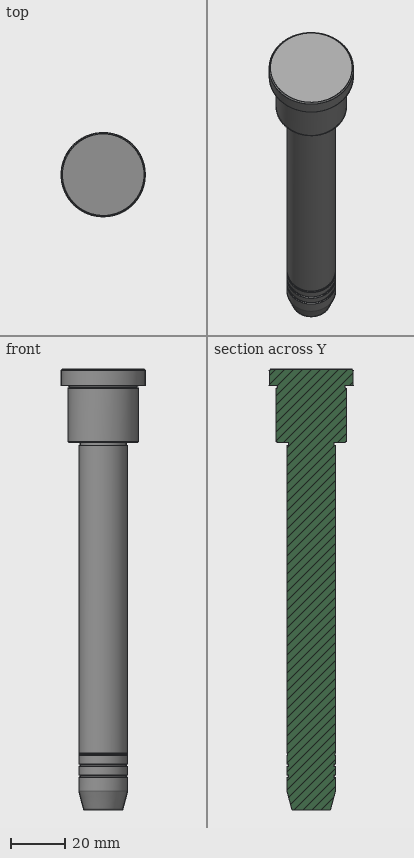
import cadquery as cq
import math

total_length = 162.0
head_thickness = 6.0
collar_length = 21.0
head_bottom_z = total_length - head_thickness
collar_bottom_z = head_bottom_z - collar_length

head_diameter = 31.0
collar_diameter = 26.0
shank_diameter = 18.0

head_chamfer = 0.5
collar_chamfer = 0.5
tip_fillet = 0.5

taper_length = 7.0
taper_angle = 15.0

neck_width = 1.0
neck_depth = 0.5
head_neck_ramp = 0.2

groove_width = 1.0
groove_depth = 0.5
groove_ramp = 0.2
groove_pitch = 4.0
groove_count = 2
lowest_groove_top_z = 13.0
shallow_groove_depth = 0.2
shallow_groove_upper_ramp = 0.3
shallow_groove_lower_ramp = 0.5
shallow_groove_top_z = lowest_groove_top_z + groove_count * groove_pitch


def cylinder(diameter, bottom_z, top_z):
    """Solid cylinder on the Z axis between two heights."""
    return cq.Workplane("XY").workplane(offset=bottom_z).circle(diameter / 2).extrude(top_z - bottom_z)


def make_head():
    head = cylinder(head_diameter, head_bottom_z, total_length)
    return head.faces(">Z").edges().chamfer(head_chamfer)


def make_collar():
    collar = cylinder(collar_diameter, collar_bottom_z, head_bottom_z)
    return collar.faces("<Z").edges().chamfer(collar_chamfer)


def make_shank():
    """Long cylinder standing on a tapered tip with a rounded lower edge."""
    radius = shank_diameter / 2
    tip_radius = radius - taper_length * math.tan(math.radians(taper_angle))
    profile = (
        cq.Workplane("XZ")
        .lineTo(tip_radius, 0)
        .lineTo(radius, taper_length)
        .lineTo(radius, collar_bottom_z)
        .lineTo(0, collar_bottom_z)
        .close()
    )
    shank = profile.revolve(360, (0, 0, 0), (0, 1, 0))
    return shank.faces("<Z").edges().fillet(tip_fillet)


def ring_cutter(diameter, top_z, width, depth, upper_ramp=0.0, lower_ramp=0.0):
    """Ring that cuts a flat-floored groove around a cylinder.

    Each ramp is the height over which that wall slopes from the surface to the floor;
    a ramp of zero gives a square wall.
    """
    outer_radius = diameter / 2
    floor_radius = outer_radius - depth
    bottom_z = top_z - width
    profile = (
        cq.Workplane("XZ")
        .moveTo(outer_radius, top_z)
        .lineTo(floor_radius, top_z - upper_ramp)
        .lineTo(floor_radius, bottom_z + lower_ramp)
        .lineTo(outer_radius, bottom_z)
        .close()
    )
    return profile.revolve(360, (0, 0, 0), (0, 1, 0))


def cut_necks(pin):
    head_neck = ring_cutter(
        collar_diameter, head_bottom_z, neck_width, neck_depth, head_neck_ramp, head_neck_ramp
    )
    collar_neck = ring_cutter(shank_diameter, collar_bottom_z, neck_width, neck_depth)
    return pin.cut(head_neck).cut(collar_neck)


def cut_grooves(pin):
    for index in range(groove_count):
        top_z = lowest_groove_top_z + index * groove_pitch
        groove = ring_cutter(shank_diameter, top_z, groove_width, groove_depth, groove_ramp, groove_ramp)
        pin = pin.cut(groove)
    shallow_groove = ring_cutter(
        shank_diameter,
        shallow_groove_top_z,
        groove_width,
        shallow_groove_depth,
        shallow_groove_upper_ramp,
        shallow_groove_lower_ramp,
    )
    return pin.cut(shallow_groove)


result = make_head().union(make_collar()).union(make_shank())
result = cut_necks(result)
result = cut_grooves(result)